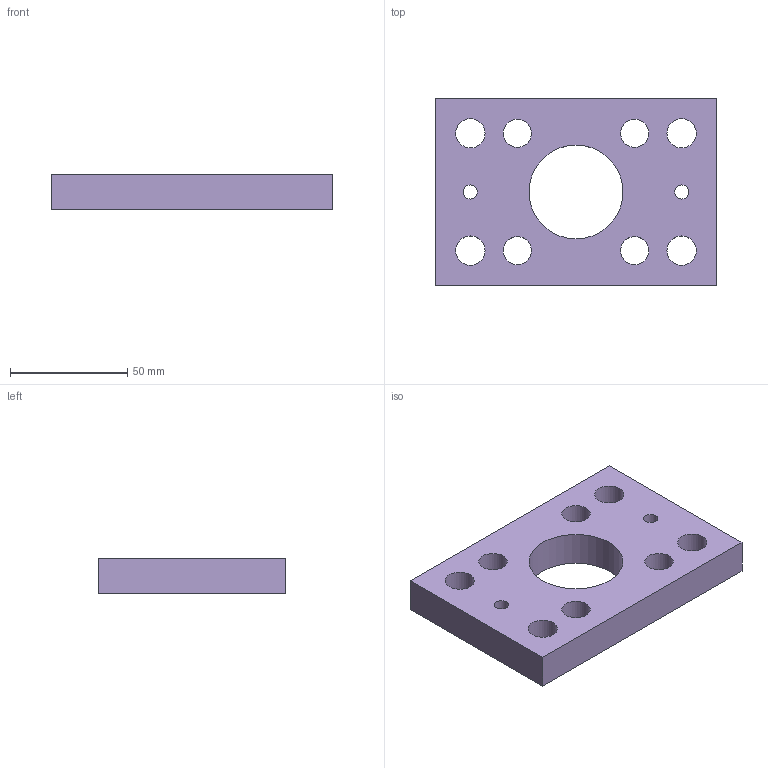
import cadquery as cq

plate_length = 120.0
plate_width = 80.0
plate_thickness = 15.0

bore_diameter = 40.0

hole_row_spacing = 50.0
outer_hole_diameter = 12.5
outer_hole_spacing = 90.0
inner_hole_diameter = 12.0
inner_hole_spacing = 50.0

dowel_diameter = 6.0
dowel_spacing = outer_hole_spacing


def drill_four(plate, diameter, spacing_x, spacing_y):
    """Drill a through hole at each corner of a centred rectangle."""
    return (
        plate.faces(">Z")
        .workplane(origin=(0, 0, plate_thickness))
        .rect(spacing_x, spacing_y, forConstruction=True)
        .vertices()
        .hole(diameter)
    )


def drill_bore(plate):
    """Drill the large bore through the middle of the plate."""
    return plate.faces(">Z").workplane(origin=(0, 0, plate_thickness)).hole(bore_diameter)


def drill_dowels(plate):
    """Drill one dowel through hole on each side of the bore."""
    centres = [(side * dowel_spacing / 2, 0) for side in (-1, 1)]
    return (
        plate.faces(">Z")
        .workplane(origin=(0, 0, plate_thickness))
        .pushPoints(centres)
        .hole(dowel_diameter)
    )


result = cq.Workplane("XY").box(
    plate_length, plate_width, plate_thickness, centered=(True, True, False)
)
result = drill_bore(result)
result = drill_four(result, outer_hole_diameter, outer_hole_spacing, hole_row_spacing)
result = drill_four(result, inner_hole_diameter, inner_hole_spacing, hole_row_spacing)
result = drill_dowels(result)